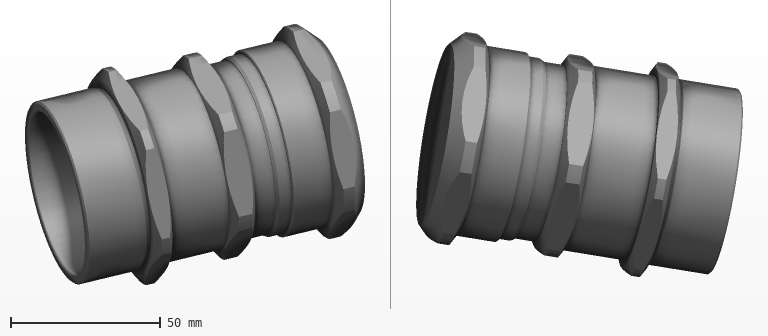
import cadquery as cq
import math

LENGTH = 98.65
NUT_CHAMFER = math.tan(math.radians(30))

THREAD_DIAMETER = 63.0
THREAD_START_CHAMFER = 0.6
THREAD_END = 20.4
RELIEF_DIAMETER = 62.0
RELIEF_TAPER = 0.6
BORE_DIAMETER = 56.0
BORE_DEPTH = 21.0
BORE_CHAMFER = 0.4

LOCK_NUT_START = 22.2
LOCK_NUT_END = 29.1
LOCK_NUT_FLATS = 68.0
LOCK_NUT_DIAMETER = 74.8

BODY_DIAMETER = 62.6
BODY_NUT_START = 50.1
BODY_NUT_END = 60.0
BODY_NUT_FLATS = 64.0
BODY_NUT_DIAMETER = 70.5
BODY_NUT_REAR_FACE = 60.9

NECK_DIAMETER = 60.0
COLLAR_START = 67.2
COLLAR_DIAMETER = 62.0
COLLAR_FACE_DIAMETER = 60.9
COLLAR_TAPER = 1.1

SKIRT_START = 72.6
SKIRT_DIAMETER = 64.4
SKIRT_CHAMFER = 0.4
CAP_NUT_START = 86.6
CAP_NUT_FLATS = 68.0
CAP_NUT_DIAMETER = 73.1
CAP_END_DIAMETER = 62.0


def revolve_profile(stations):
    """Solid of revolution about Y through (diameter, y) stations listed from front to back."""
    outline = [(diameter / 2, y) for diameter, y in stations]
    closed = [(0, stations[0][1])] + outline + [(0, stations[-1][1])]
    return cq.Workplane("XY").polyline(closed).close().revolve(360, (0, 0), (0, 1))


def hex_nut(start, end, flats, diameter, front_face, rear_face, rear_slope=NUT_CHAMFER):
    """Hexagon with corners toward +X and -X, trimmed by a turned blank with chamfered faces."""
    front_rise = (diameter - front_face) / 2 * NUT_CHAMFER
    rear_rise = (diameter - rear_face) / 2 * rear_slope
    blank = revolve_profile([
        (front_face, start),
        (diameter, start + front_rise),
        (diameter, end - rear_rise),
        (rear_face, end),
    ])
    corner_diameter = flats / math.cos(math.radians(30))
    hexagon = cq.Workplane("XZ", origin=(0, end, 0)).polygon(6, corner_diameter).extrude(end - start)
    return hexagon.intersect(blank)


turned_body = revolve_profile([
    (THREAD_DIAMETER - 2 * THREAD_START_CHAMFER, 0),
    (THREAD_DIAMETER, THREAD_START_CHAMFER),
    (THREAD_DIAMETER, THREAD_END),
    (RELIEF_DIAMETER, THREAD_END + RELIEF_TAPER),
    (RELIEF_DIAMETER, LOCK_NUT_END),
    (BODY_DIAMETER, LOCK_NUT_END),
    (BODY_DIAMETER, BODY_NUT_START),
    (NECK_DIAMETER, BODY_NUT_START),
    (NECK_DIAMETER, COLLAR_START),
    (COLLAR_FACE_DIAMETER, COLLAR_START),
    (COLLAR_DIAMETER, COLLAR_START + COLLAR_TAPER),
    (COLLAR_DIAMETER, SKIRT_START),
    (SKIRT_DIAMETER - 2 * SKIRT_CHAMFER, SKIRT_START),
    (SKIRT_DIAMETER, SKIRT_START + SKIRT_CHAMFER),
    (SKIRT_DIAMETER, CAP_NUT_START),
    (CAP_END_DIAMETER, CAP_NUT_START),
    (CAP_END_DIAMETER, LENGTH),
])

lock_nut = hex_nut(
    LOCK_NUT_START, LOCK_NUT_END, LOCK_NUT_FLATS, LOCK_NUT_DIAMETER,
    front_face=LOCK_NUT_FLATS, rear_face=LOCK_NUT_FLATS,
)
body_nut = hex_nut(
    BODY_NUT_START, BODY_NUT_END, BODY_NUT_FLATS, BODY_NUT_DIAMETER,
    front_face=BODY_DIAMETER, rear_face=BODY_NUT_REAR_FACE,
)
cap_nut = hex_nut(
    CAP_NUT_START, LENGTH, CAP_NUT_FLATS, CAP_NUT_DIAMETER,
    front_face=SKIRT_DIAMETER, rear_face=CAP_END_DIAMETER, rear_slope=1.0,
)

bore = revolve_profile([
    (BORE_DIAMETER + 2 * BORE_CHAMFER, 0),
    (BORE_DIAMETER, BORE_CHAMFER),
    (BORE_DIAMETER, BORE_DEPTH),
])

result = turned_body.union(lock_nut).union(body_nut).union(cap_nut).cut(bore)